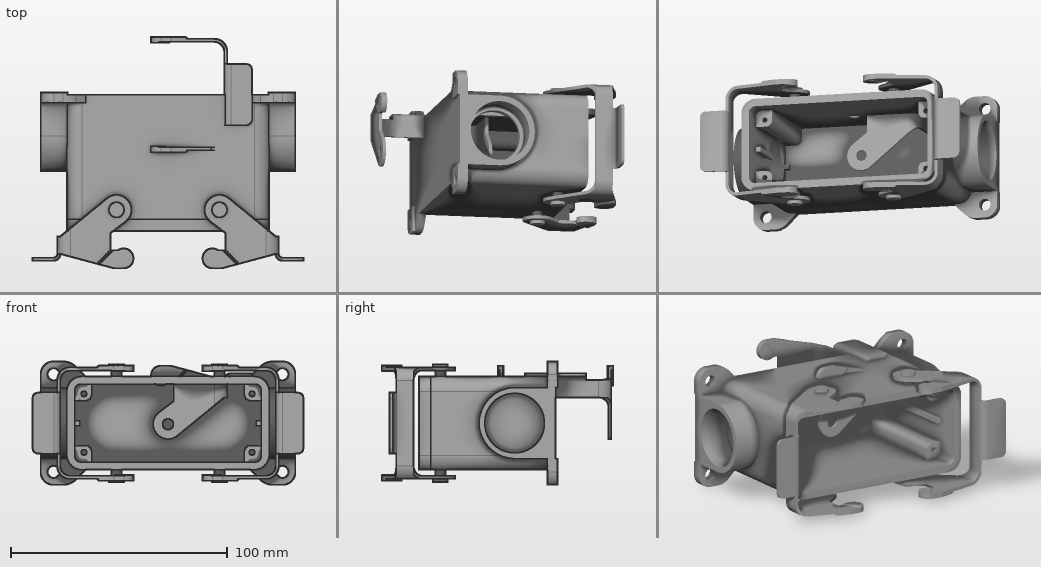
import cadquery as cq
import math


housing_half_width = 46.7
housing_half_height = 21.5
cavity_half_width = 43.0
cavity_half_height = 18.0
outer_corner_radius = 6.8
inner_corner_radius = 3.0
opening_depth = 63.0
rim_depth = 5.5
shell_depth = opening_depth - rim_depth
back_wall = 3.8

flange_half_width = 58.8
flange_half_height = 28.5
flange_thickness = back_wall
flange_corner_radius = 6.0
flange_shoulder_radius = 8.5
flange_top_end = 48.5
mount_hole_x = 52.8
mount_hole_z = 22.5
mount_hole_diameter = 5.5
pad_height = 1.0
pad_width = 12.5

boss_radius = 16.4
boss_centre_y = -18.9
bore_diameter = 27.5
bore_depth = 13.4
entry_hole_diameter = 24.0

post_size_x = 7.8
post_size_z = 7.6
post_corner_radius = 2.8
post_end_y = -51.8
screw_hole_diameter = 2.5
screw_hole_x = 38.8
screw_hole_z = 13.5
screw_hole_depth = 12.5
rib_width = 2.3

pivot_x = 23.8
pivot_y = -53.2
stud_diameter = 4.9
stud_head_diameter = 7.0
stud_head_thickness = 1.5

sheet = 1.5
arm_outer_z = 25.8
arm_bend_radius = 6.0
pivot_hole_diameter = 5.0
pivot_eye_radius = 6.9
strap_outer_x = 27.4
strap_inner_x = strap_outer_x - sheet
strap_top_y = -12.3
strap_bottom_y = -20.4
notch_x = 2.8
notch_top_y = -10.8
notch_bottom_y = -18.6
hook_centre_x = -3.3
hook_centre_y = -22.4
hook_radius = 4.6
hook_bottom_y = hook_centre_y - hook_radius
hook_flat_x = 1.3
hook_outer_z = 26.6
hook_inner_z = 23.9
outer_ramp_angle = 45
inner_ramp_x = 0.9
inner_ramp_angle = -31
tab_end_x = 38.8
tab_half_length = 14.1
tab_bend_radius = 1.6
tab_corner_radius = 2.8

loose_latch_z = -0.5


def rounded_bar(half_width, half_height, corner_radius, start_y, end_y):
    """Bar along Y with rounded long edges, running from start_y towards -Y to end_y."""
    return (
        cq.Workplane("XZ", origin=(0, start_y, 0))
        .rect(2 * half_width, 2 * half_height)
        .extrude(start_y - end_y)
        .edges("|Y")
        .fillet(corner_radius)
    )


def box_between(x_range, y_range, z_range):
    sizes = [high - low for low, high in (x_range, y_range, z_range)]
    return cq.Workplane("XY").box(*sizes, centered=False).translate((x_range[0], y_range[0], z_range[0]))


def rod_y(x, z, diameter, start_y, end_y):
    """Round rod along Y from start_y towards -Y to end_y."""
    return cq.Workplane("XZ", origin=(x, start_y, z)).circle(diameter / 2).extrude(start_y - end_y)


def four_corners(quarter):
    """Copy a piece from the +X +Z quarter into all four quarters."""
    upper = quarter.union(quarter.mirror("YZ"))
    return upper.union(upper.mirror("XY"))




def shoulder_point(angle):
    """X and Z of the flange shoulder arc, at an angle from its start on the top edge."""
    x = flange_top_end - flange_shoulder_radius * math.sin(angle)
    z = flange_half_height - flange_shoulder_radius * (1 - math.cos(angle))
    return x, z


def flange_quarter(start_y, end_y):
    """The +X +Z quarter of the mounting flange, between two Y levels."""
    corner_mid = flange_corner_radius * (1 - math.sqrt(0.5))
    slope = math.radians(45)
    shoulder_x, shoulder_z = shoulder_point(slope)
    foot_x = shoulder_x - (shoulder_z - housing_half_height)
    return (
        cq.Workplane("XZ", origin=(0, start_y, 0))
        .moveTo(foot_x, 0)
        .lineTo(flange_half_width, 0)
        .lineTo(flange_half_width, flange_half_height - flange_corner_radius)
        .threePointArc(
            (flange_half_width - corner_mid, flange_half_height - corner_mid),
            (flange_half_width - flange_corner_radius, flange_half_height),
        )
        .lineTo(flange_top_end, flange_half_height)
        .threePointArc(shoulder_point(slope / 2), (shoulder_x, shoulder_z))
        .lineTo(foot_x, housing_half_height)
        .close()
        .extrude(start_y - end_y)
    )


def mounting_flange():
    plate = flange_quarter(0, -flange_thickness)
    pad_area = box_between(
        (flange_half_width - pad_width, flange_half_width),
        (0, pad_height),
        (boss_radius, flange_half_height),
    )
    pad = flange_quarter(pad_height, 0).intersect(pad_area)
    hole = rod_y(mount_hole_x, mount_hole_z, mount_hole_diameter, pad_height, -flange_thickness)
    return four_corners(plate.union(pad).cut(hole))


def cable_boss():
    """Boss on the +X end: half round towards the opening and square towards the back face."""
    return (
        cq.Workplane("YZ", origin=(cavity_half_width, 0, 0))
        .moveTo(0, -boss_radius)
        .lineTo(boss_centre_y, -boss_radius)
        .threePointArc((boss_centre_y - boss_radius, 0), (boss_centre_y, boss_radius))
        .lineTo(0, boss_radius)
        .close()
        .extrude(flange_half_width - cavity_half_width)
    )


def cable_bore():
    """Blind bore in the +X boss."""
    return (
        cq.Workplane("YZ", origin=(flange_half_width - bore_depth, boss_centre_y, 0))
        .circle(bore_diameter / 2)
        .extrude(bore_depth)
    )


def entry_hole():
    """Opening from the -X bore into the cavity, which also interrupts the guide rib there."""
    return (
        cq.Workplane("YZ", origin=(-flange_half_width, boss_centre_y, 0))
        .circle(entry_hole_diameter / 2)
        .extrude(flange_half_width - cavity_half_width + rib_width)
    )


def screw_post():
    post = box_between(
        (cavity_half_width - post_size_x, cavity_half_width),
        (post_end_y, -back_wall),
        (cavity_half_height - post_size_z, cavity_half_height),
    )
    post = post.edges("|Y and <X and <Z").fillet(post_corner_radius)
    cavity = rounded_bar(cavity_half_width, cavity_half_height, inner_corner_radius, -back_wall, post_end_y)
    hole = rod_y(screw_hole_x, screw_hole_z, screw_hole_diameter, post_end_y + screw_hole_depth, post_end_y)
    return post.intersect(cavity).cut(hole)


def guide_rib():
    return box_between(
        (cavity_half_width - rib_width, cavity_half_width),
        (post_end_y, -back_wall),
        (-rib_width / 2, rib_width / 2),
    )


def pivot_stud():
    """Stud with a flat head on the +X +Z quarter of the housing."""
    shank = (
        cq.Workplane("XY", origin=(pivot_x, pivot_y, housing_half_height))
        .circle(stud_diameter / 2)
        .extrude(arm_outer_z - housing_half_height)
    )
    head = (
        cq.Workplane("XY", origin=(pivot_x, pivot_y, arm_outer_z))
        .circle(stud_head_diameter / 2)
        .extrude(stud_head_thickness)
    )
    return shank.union(head)


def make_housing():
    body = rounded_bar(housing_half_width, housing_half_height, outer_corner_radius, 0, -shell_depth)
    body = body.union(mounting_flange())
    body = body.union(cable_boss()).union(cable_boss().mirror("YZ"))
    body = body.cut(
        rounded_bar(cavity_half_width, cavity_half_height, inner_corner_radius, -back_wall, -shell_depth)
    )
    body = body.union(four_corners(screw_post()))
    body = body.union(guide_rib()).union(guide_rib().mirror("YZ"))
    body = body.cut(cable_bore()).cut(cable_bore().mirror("YZ")).cut(entry_hole())
    return body.union(four_corners(pivot_stud()))




def make_rim():
    """Separate frame around the opening, flush with the shell inside and outside."""
    outside = rounded_bar(
        housing_half_width, housing_half_height, outer_corner_radius, -shell_depth, -opening_depth
    )
    inside = rounded_bar(
        cavity_half_width, cavity_half_height, inner_corner_radius, -shell_depth, -opening_depth
    )
    return outside.cut(inside)




def eye_tangent_point(x, y, side):
    """Point where a line from (x, y) touches the pivot eye; side is +1 or -1 around the eye."""
    angle = math.atan2(y, x) + side * math.acos(pivot_eye_radius / math.hypot(x, y))
    return pivot_eye_radius * math.cos(angle), pivot_eye_radius * math.sin(angle)


def latch_outline(low_z, high_z):
    """Side shape of the latch: pivot eye, arm, strap and hook, extruded between two Z levels."""
    upper_tangent = eye_tangent_point(strap_inner_x, strap_top_y, 1)
    lower_tangent = eye_tangent_point(notch_x, notch_top_y, -1)
    hook_start_x = hook_centre_x + math.sqrt(hook_radius**2 - (notch_bottom_y - hook_centre_y) ** 2)
    return (
        cq.Workplane("XY", origin=(0, 0, low_z))
        .moveTo(*upper_tangent)
        .lineTo(strap_inner_x, strap_top_y)
        .lineTo(strap_outer_x, strap_top_y)
        .lineTo(strap_outer_x, strap_bottom_y)
        .lineTo(strap_inner_x, strap_bottom_y)
        .lineTo(hook_flat_x, hook_bottom_y)
        .lineTo(hook_centre_x, hook_bottom_y)
        .threePointArc((hook_centre_x - hook_radius, hook_centre_y), (hook_start_x, notch_bottom_y))
        .lineTo(notch_x, notch_bottom_y)
        .lineTo(notch_x, notch_top_y)
        .lineTo(*lower_tangent)
        .threePointArc((-pivot_eye_radius, 0), upper_tangent)
        .close()
        .extrude(high_z - low_z)
    )


def bent_sheet():
    """U-shaped sheet, larger than the latch: two arms joined by the strap."""

    def block(outer_x, half_height, corner_radius):
        return (
            cq.Workplane("XZ", origin=(0, pivot_eye_radius, 0))
            .rect(2 * outer_x, 2 * half_height)
            .extrude(pivot_eye_radius - hook_bottom_y)
            .edges("|Y and >X")
            .fillet(corner_radius)
        )

    outside = block(strap_outer_x, arm_outer_z, arm_bend_radius)
    inside = block(strap_inner_x, arm_outer_z - sheet, arm_bend_radius - sheet)
    return outside.cut(inside)


def hook_pad(ramp_x, ramp_angle, low_z, high_z, ramp_edge, rise):
    """Thickening of the hook of the +Z arm on the tip side of a 45 degree ramp.

    The ramp's foot passes through (ramp_x, notch_bottom_y) and faces the direction ramp_angle.
    """
    reach = 4 * hook_radius
    tip_side = (
        box_between((-reach, 0), (-reach, reach), (low_z, high_z))
        .edges(ramp_edge)
        .chamfer(rise)
        .rotate((0, 0, 0), (0, 0, 1), ramp_angle)
        .translate((ramp_x, notch_bottom_y, 0))
    )
    below_notch = box_between((-reach, reach), (hook_bottom_y, notch_bottom_y), (low_z, high_z))
    beside_notch = box_between((-reach, notch_x), (notch_bottom_y, notch_top_y), (low_z, high_z))
    hook_area = below_notch.union(beside_notch)
    return latch_outline(low_z, high_z).intersect(tip_side).intersect(hook_area)


def thumb_tab():
    """Tab that bends outwards from the lower edge of the strap."""
    bend_x = strap_outer_x + tab_bend_radius
    outer_radius = tab_bend_radius + sheet
    diagonal = math.sqrt(0.5)
    return (
        cq.Workplane("XY", origin=(0, 0, -tab_half_length))
        .moveTo(strap_inner_x, strap_bottom_y)
        .threePointArc(
            (bend_x - outer_radius * diagonal, strap_bottom_y - outer_radius * diagonal),
            (bend_x, strap_bottom_y - outer_radius),
        )
        .lineTo(tab_end_x, strap_bottom_y - outer_radius)
        .lineTo(tab_end_x, strap_bottom_y - tab_bend_radius)
        .lineTo(bend_x, strap_bottom_y - tab_bend_radius)
        .threePointArc(
            (bend_x - tab_bend_radius * diagonal, strap_bottom_y - tab_bend_radius * diagonal),
            (strap_outer_x, strap_bottom_y),
        )
        .close()
        .extrude(2 * tab_half_length)
        .edges("|Y and >X")
        .fillet(tab_corner_radius)
    )


def make_latch():
    arm_middle_z = arm_outer_z - sheet / 2
    outer_rise = hook_outer_z - arm_outer_z
    inner_rise = arm_outer_z - sheet - hook_inner_z
    outer_pad = hook_pad(notch_x, outer_ramp_angle, arm_middle_z, hook_outer_z, ">X and >Z", outer_rise)
    inner_pad = hook_pad(inner_ramp_x, inner_ramp_angle, hook_inner_z, arm_middle_z, ">X and <Z", inner_rise)
    pads = outer_pad.union(inner_pad)
    pivot_hole = (
        cq.Workplane("XY", origin=(0, 0, -arm_outer_z))
        .circle(pivot_hole_diameter / 2)
        .extrude(2 * arm_outer_z)
    )
    sheet_body = latch_outline(-arm_outer_z, arm_outer_z).intersect(bent_sheet())
    return sheet_body.union(thumb_tab()).union(pads).union(pads.mirror("XY")).cut(pivot_hole)



LATCH_PLACES = (
    (0, 0, (pivot_x, pivot_y, 0)),
    (180, 0, (-pivot_x, pivot_y, 0)),
    (0, -90, (0, 0, loose_latch_z)),
)

latches = []
for turn_y, turn_x, place in LATCH_PLACES:
    turned = make_latch().rotate((0, 0, 0), (0, 1, 0), turn_y).rotate((0, 0, 0), (1, 0, 0), turn_x)
    latches.append(turned.translate(place))

loose_latch = latches[-1]
housing = make_housing().cut(loose_latch)
rim = make_rim()

bodies = [housing, rim, *latches]
result = cq.Compound.makeCompound([body.solids().val() for body in bodies])